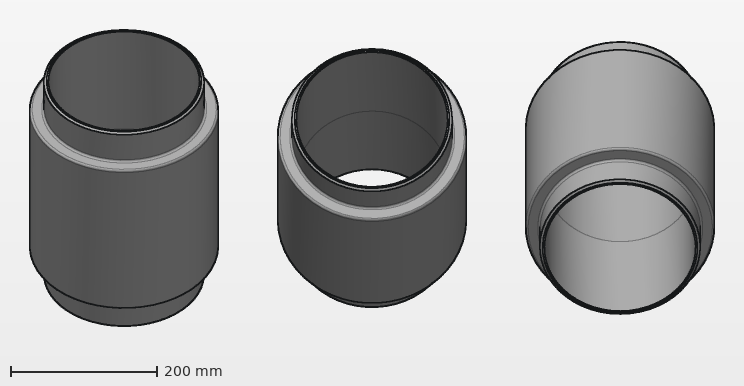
import cadquery as cq
import math

total_length = 350.0
sleeve_diameter = 258.0
tube_diameter = 219.0
bore_diameter = 206.5
stub_length = 50.0

sleeve_edge_radius = 3.0
root_radius = 3.0
end_land = 2.5
bevel_angle = 30.0

wall = (tube_diameter - bore_diameter) / 2
bevel_width = wall - end_land
bevel_height = bevel_width * math.tan(math.radians(bevel_angle))
sleeve_length = total_length - 2 * stub_length
shoulder_height = sleeve_length / 2


def beveled_tube():
    """Solid tube blank, centred on the origin, with a weld bevel on both ends."""
    tube_radius = tube_diameter / 2
    end_radius = tube_radius - bevel_width
    end_height = total_length / 2
    bevel_start = end_height - bevel_height
    return (
        cq.Workplane("XZ")
        .moveTo(0, -end_height)
        .lineTo(end_radius, -end_height)
        .lineTo(tube_radius, -bevel_start)
        .lineTo(tube_radius, bevel_start)
        .lineTo(end_radius, end_height)
        .lineTo(0, end_height)
        .close()
        .revolve(360, (0, 0, 0), (0, 1, 0))
    )


def sleeve():
    """Thick middle cylinder with rounded outer edges."""
    return (
        cq.Workplane("XY")
        .circle(sleeve_diameter / 2)
        .extrude(shoulder_height, both=True)
        .faces("<Z or >Z")
        .edges()
        .fillet(sleeve_edge_radius)
    )


def root_edges(body):
    """Circles where the tube meets the two sleeve shoulders."""
    search_half_side = (tube_diameter + sleeve_diameter) / 4
    search_half_depth = shoulder_height + root_radius
    search_box = cq.selectors.BoxSelector(
        (-search_half_side, -search_half_side, -search_half_depth),
        (search_half_side, search_half_side, search_half_depth),
        boundingbox=True,
    )
    return body.edges("%CIRCLE").edges(search_box)


body = beveled_tube().union(sleeve())
body = root_edges(body).fillet(root_radius)

bore = cq.Workplane("XY").circle(bore_diameter / 2).extrude(total_length / 2, both=True)
result = body.cut(bore)